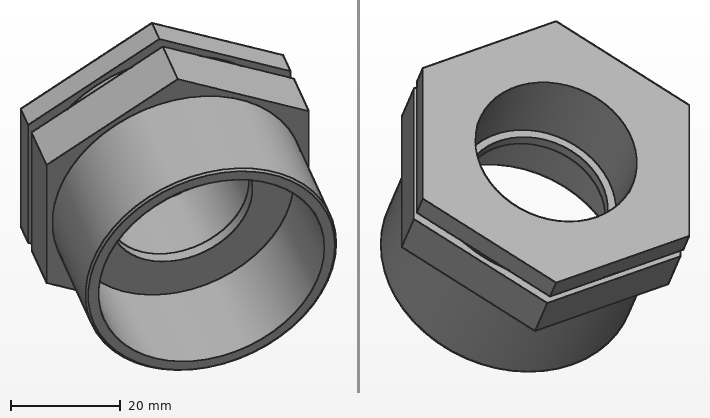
import cadquery as cq
import math

corner_diameter = 57.75
flange_width = 4.6
groove_end = 6.75
collar_end = 16.05

body_diameter = 47.8
total_length = 37.0
end_chamfer = 0.4

socket_diameter = 30.3
socket_depth = 15.8
bore_diameter = 27.25
bore_end = 18.0
recess_diameter = 43.0


def cylinder(diameter, start, end):
    """Round bar along X between two stations."""
    return cq.Workplane("YZ", origin=(start, 0, 0)).circle(diameter / 2).extrude(end - start)


def hexagon(start, end):
    """Hexagonal plate along X with its corners on the Z axis."""
    corner_radius = corner_diameter / 2
    corners = []
    for index in range(6):
        angle = math.radians(90 + 60 * index)
        corners.append((corner_radius * math.cos(angle), corner_radius * math.sin(angle)))
    return cq.Workplane("YZ", origin=(start, 0, 0)).polyline(corners).close().extrude(end - start)


body = cylinder(body_diameter, 0, total_length).faces(">X").chamfer(end_chamfer)
body = body.union(hexagon(0, flange_width))
body = body.union(hexagon(groove_end, collar_end))

result = body.cut(cylinder(socket_diameter, 0, socket_depth))
result = result.cut(cylinder(bore_diameter, socket_depth, bore_end))
result = result.cut(cylinder(recess_diameter, bore_end, total_length))